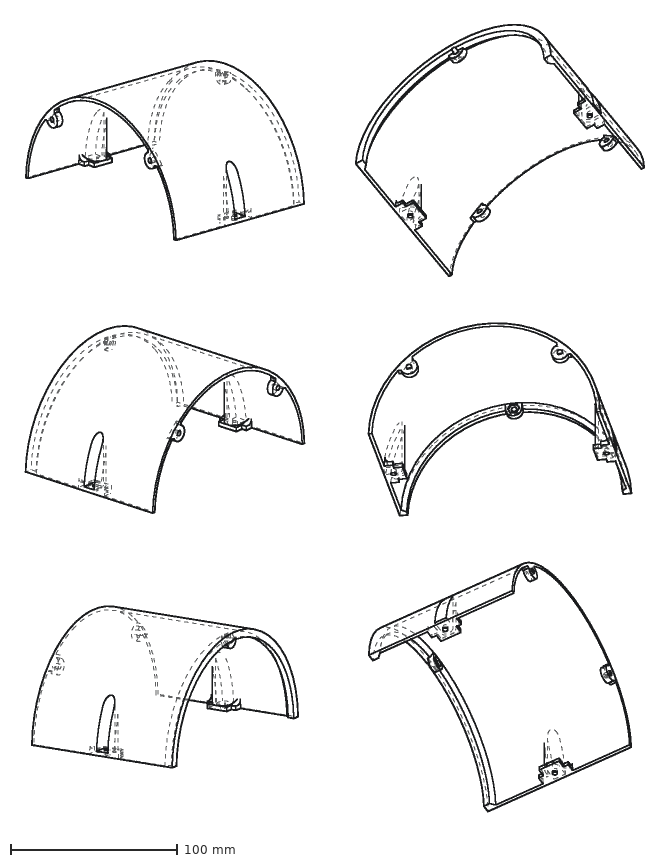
import cadquery as cq
import math

length = 100.0
outer_radius = 71.1
axis_z = -2.1
wall = 2.1
lip_wall = 5.0
lip_slope_length = 2.7
lip_land = 4.0
front_y = -length / 2

lug_circle_radius = 65.5
lug_radius = 5.1
lug_thickness = 4.0
screw_diameter = 3.1
web_half_width = 2.0
nut_corner_diameter = 7.1
nut_depth = 1.4

post_x = 64.2
post_radius = 5.7
slot_radius = 4.0
post_fillet = 2.8
plate_thickness = 2.7
plate_width = 14.0
plate_shoulder_x = 63.7
plate_shoulder_width = 20.6
post_screw_x = 65.3


def cylinder(radius, x, z, start_y, depth):
    """Cylinder along +Y starting at start_y."""
    return cq.Workplane("XZ", origin=(x, start_y, z)).circle(radius).extrude(-depth)


def cylinder_z(radius, x, start_z):
    """Cylinder along Z from start_z to above the shell."""
    return cq.Workplane("XY", origin=(x, 0, start_z)).circle(radius).extrude(outer_radius - start_z)


def block(x_range, y_range, z_range):
    """Axis-aligned box given by its limits."""
    size = [high - low for low, high in (x_range, y_range, z_range)]
    corner = (x_range[0], y_range[0], z_range[0])
    return cq.Workplane("XY").box(*size, centered=False).translate(corner)


def make_envelope():
    """Solid bounded by the outer surface and the foot plane."""
    tube = cylinder(outer_radius, 0, axis_z, front_y, length)
    upper = block((-outer_radius, outer_radius), (front_y, -front_y), (0, outer_radius))
    return tube.intersect(upper)


def make_bore():
    """Cylindrical bore narrowed by a lip at the rear end, with a sloped front flank."""
    bore_radius = outer_radius - wall
    lip_radius = outer_radius - lip_wall
    flank_end = -front_y - lip_land
    profile = [
        (0, front_y),
        (bore_radius, front_y),
        (bore_radius, flank_end - lip_slope_length),
        (lip_radius, flank_end),
        (lip_radius, -front_y),
        (0, -front_y),
    ]
    bore = cq.Workplane("XY").polyline(profile).close().revolve(360, (0, 0, 0), (0, 1, 0))
    return bore.translate((0, 0, axis_z))


def make_post(side):
    """Round-nosed post with a foot plate, reaching out to the shell."""
    post = cylinder_z(post_radius, post_x, 0).union(
        block((post_x, outer_radius), (-post_radius, post_radius), (0, outer_radius))
    )
    nose_x = post_x - post_radius
    for start_x, width in ((nose_x, plate_width), (plate_shoulder_x, plate_shoulder_width)):
        post = post.union(
            block((start_x, outer_radius), (-width / 2, width / 2), (0, plate_thickness))
        )
    return post if side > 0 else post.mirror("YZ")


def lies_on_bore(edge):
    """True for an edge next to a post that lies on the bore at or above the plate top."""
    points = [edge.positionAt(step) for step in (0, 0.3, 0.7, 1)]
    on_surface = all(
        math.isclose(math.hypot(point.x, point.z - axis_z), outer_radius - wall, abs_tol=0.01)
        for point in points
    )
    beside_post = all(abs(point.y) < plate_shoulder_width for point in points)
    above_plate = all(point.z > plate_thickness - 0.01 for point in points)
    return on_surface and beside_post and above_plate


def cut_post(body, side):
    """Screwdriver slot open to the outside, with a screw hole in its floor."""
    slot = cylinder_z(slot_radius, side * post_x, plate_thickness)
    outer_x = sorted((side * post_x, side * (outer_radius + 1.4)))
    slot = slot.union(block(outer_x, (-slot_radius, slot_radius), (plate_thickness, outer_radius)))
    return body.cut(slot).cut(cylinder_z(screw_diameter / 2, side * post_screw_x, 0))


def lug_center(side):
    """Lug position: side 0 is the crown, -1 and +1 are the 45 degree lugs."""
    angle = side * math.radians(45)
    return lug_circle_radius * math.sin(angle), axis_z + lug_circle_radius * math.cos(angle)


def lug_start_y(side):
    """Front face of a lug: the diagonal ones at the front rim, the crown one before the lip."""
    return front_y if side else -front_y - lip_land - lip_slope_length


def make_lug(side):
    """Round lug with a web reaching the shell."""
    x, z = lug_center(side)
    start_y = lug_start_y(side)
    if side:
        x_range = sorted((x - side * web_half_width, side * outer_radius))
        z_low = z - web_half_width
    else:
        x_range = (-lug_radius, lug_radius)
        z_low = z
    web = block(x_range, (start_y, start_y + lug_thickness), (z_low, outer_radius))
    return cylinder(lug_radius, x, z, start_y, lug_thickness).union(web)


envelope = make_envelope()
result = envelope.cut(make_bore())

for side in (-1, 1):
    result = result.union(make_post(side).intersect(envelope))

result = result.newObject([edge for edge in result.edges().vals() if lies_on_bore(edge)])
result = result.fillet(post_fillet)

for side in (-1, 1):
    result = cut_post(result, side)

for side in (-1, 0, 1):
    x, z = lug_center(side)
    result = result.union(make_lug(side).intersect(envelope))
    hole_depth = lug_thickness if side else -front_y - lug_start_y(side)
    result = result.cut(cylinder(screw_diameter / 2, x, z, lug_start_y(side), hole_depth))

crown_x, crown_z = lug_center(0)
nut_pocket = (
    cq.Workplane("XZ", origin=(crown_x, lug_start_y(0), crown_z))
    .polygon(6, nut_corner_diameter)
    .extrude(-nut_depth)
)
result = result.cut(nut_pocket)